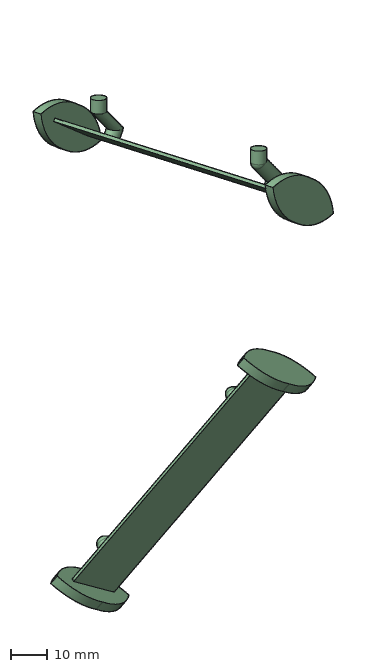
import cadquery as cq
import math

overall_length = 90.0
plate_thickness = 3.0
tilt_angle = 30.0

lens_length = 28.475
lens_mid_height = 13.0
lens_arc_rise = 2.0

bar_length = overall_length - 2 * plate_thickness
bar_width = 16.0
bar_thickness = 1.0

hook_radius = 4.55 / 2
hook_spacing = 60.0
stub_length = 3.1
slope_angle = 45.0
post_y = -1.9
post_height = 4.0
post_top_z = 12.1

sin_tilt = math.sin(math.radians(tilt_angle))
cos_tilt = math.cos(math.radians(tilt_angle))
tan_tilt = math.tan(math.radians(tilt_angle))
tan_slope = math.tan(math.radians(slope_angle))
knee_z = post_top_z - post_height
elbow_above_bar_centre = bar_thickness / 2 + stub_length
elbow_y = (knee_z + post_y * tan_slope - elbow_above_bar_centre / cos_tilt) / (tan_slope - tan_tilt)
elbow_z = knee_z - (elbow_y - post_y) * tan_slope
base_y = elbow_y - stub_length * sin_tilt
base_z = elbow_z - stub_length * cos_tilt


def tilted(shape):
    return shape.rotate((0, 0, 0), (1, 0, 0), -tilt_angle)


def end_plate(x_start):
    half_length = lens_length / 2
    half_height = lens_mid_height / 2
    chord = math.hypot(half_length, half_height)
    arc_mid_y = half_length / 2 + lens_arc_rise * half_height / chord
    arc_mid_z = half_height / 2 + lens_arc_rise * half_length / chord
    plate = (
        cq.Workplane("YZ", origin=(x_start, 0, 0))
        .moveTo(-half_length, 0)
        .threePointArc((-arc_mid_y, arc_mid_z), (0, half_height))
        .threePointArc((arc_mid_y, arc_mid_z), (half_length, 0))
        .threePointArc((arc_mid_y, -arc_mid_z), (0, -half_height))
        .threePointArc((-arc_mid_y, -arc_mid_z), (-half_length, 0))
        .close()
        .extrude(plate_thickness)
    )
    return tilted(plate)


def rod(start, end):
    """Round rod with square-cut ends."""
    axis = end - start
    return cq.Workplane(obj=cq.Solid.makeCylinder(hook_radius, axis.Length, start, axis))


def oblique_rod(start, end):
    """Slanted rod whose level ends are circles, so it is thinner across its axis."""
    up = cq.Vector(0, 0, 1)
    rims = [cq.Wire.makeCircle(hook_radius, centre, up) for centre in (start, end)]
    return cq.Workplane(obj=cq.Solid.makeLoft(rims, True))


def ball(centre):
    return cq.Workplane("XY", origin=centre.toTuple()).sphere(hook_radius)


def lower_half_ball(centre):
    size = 2 * hook_radius
    upper_half = cq.Workplane("XY", origin=centre.toTuple()).rect(size, size).extrude(size)
    return ball(centre).cut(upper_half)


def hook(x, oblique_slope):
    base = cq.Vector(x, base_y, base_z)
    elbow = cq.Vector(x, elbow_y, elbow_z)
    knee = cq.Vector(x, post_y, knee_z)
    top = cq.Vector(x, post_y, post_top_z)
    stub = rod(base, elbow)
    post = rod(knee, top)
    if oblique_slope:
        return stub.union(lower_half_ball(elbow)).union(oblique_rod(elbow, knee)).union(post)
    return stub.union(ball(elbow)).union(rod(elbow, knee)).union(ball(knee)).union(post)


frame = tilted(cq.Workplane("XY").box(bar_length, bar_width, bar_thickness))
for plate_x in (-overall_length / 2, bar_length / 2):
    frame = frame.union(end_plate(plate_x))
frame = frame.union(hook(hook_spacing / 2, oblique_slope=False))

separate_hook = hook(-hook_spacing / 2, oblique_slope=True)

result = cq.Compound.makeCompound([frame.val(), separate_hook.val()])